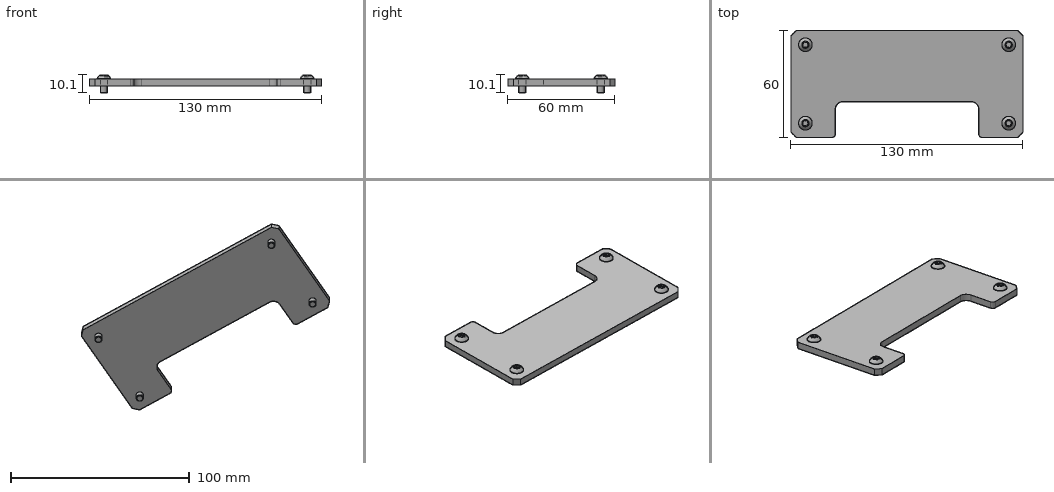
import cadquery as cq
import math

plate_length = 130.0
plate_width = 60.0
plate_thickness = 4.0
corner_chamfer = 3.0

notch_length = 80.2
notch_depth = 20.0
notch_inner_radius = 4.2
notch_mouth_radius = 2.0

screw_inset = 8.0
shank_diameter = 4.0
shank_length = 7.9
tip_chamfer = 0.4
head_diameter = 7.7
head_height = 2.2
head_flat_diameter = 4.0
head_rim_height = 0.3
head_bulge = 0.2

recess_diameter = 3.9
recess_root_diameter = 2.7
recess_depth = 1.2
recess_angle = -8.0
lobe_count = 6
lobe_half_angle = 10.0
hollow_half_angle = 180.0 / lobe_count - lobe_half_angle

screw_x = plate_length / 2 - screw_inset
screw_y = plate_width / 2 - screw_inset
screw_positions = [(sx * screw_x, sy * screw_y) for sx in (-1, 1) for sy in (-1, 1)]


def make_plate():
    """Chamfered plate with a rounded notch and four through holes."""
    blank = (
        cq.Workplane("XY")
        .rect(plate_length, plate_width)
        .extrude(plate_thickness)
        .edges("|Z")
        .chamfer(corner_chamfer)
    )

    notch_floor_y = notch_depth - plate_width / 2
    notch = (
        cq.Workplane("XY")
        .center(0, notch_floor_y - notch_depth / 2)
        .rect(notch_length, notch_depth)
        .extrude(plate_thickness)
    )
    plate = blank.cut(notch)

    for side in (-1, 1):
        wall_x = side * notch_length / 2
        inner_corner = cq.selectors.NearestToPointSelector((wall_x, notch_floor_y, plate_thickness / 2))
        plate = plate.edges("|Z").edges(inner_corner).fillet(notch_inner_radius)
        mouth_corner = cq.selectors.NearestToPointSelector((wall_x, -plate_width / 2, plate_thickness / 2))
        plate = plate.edges("|Z").edges(mouth_corner).fillet(notch_mouth_radius)

    holes = (
        cq.Workplane("XY")
        .pushPoints(screw_positions)
        .circle(shank_diameter / 2)
        .extrude(plate_thickness)
    )
    return plate.cut(holes)


def polar_point(diameter, angle):
    """Point on a circle about the screw axis, with the angle in degrees."""
    turn = math.radians(angle)
    return (diameter / 2 * math.cos(turn), diameter / 2 * math.sin(turn))


def make_recess():
    """Six-lobed socket sunk from the top of a head that sits on Z = 0."""
    lobe_step = 360.0 / lobe_count
    mean_diameter = (recess_diameter + recess_root_diameter) / 2
    outline = cq.Workplane("XY", origin=(0, 0, head_height - recess_depth))
    outline = outline.moveTo(*polar_point(mean_diameter, recess_angle - lobe_half_angle))
    for lobe in range(lobe_count):
        lobe_angle = recess_angle + lobe * lobe_step
        lobe_end = lobe_angle + lobe_half_angle
        hollow_middle = lobe_end + hollow_half_angle
        hollow_end = hollow_middle + hollow_half_angle
        outline = outline.threePointArc(
            polar_point(recess_diameter, lobe_angle), polar_point(mean_diameter, lobe_end)
        )
        outline = outline.threePointArc(
            polar_point(recess_root_diameter, hollow_middle), polar_point(mean_diameter, hollow_end)
        )
    return outline.close().extrude(recess_depth)


def make_screw():
    """Button-head screw on the Z axis, with the underside of its head at Z = 0."""
    head_radius = head_diameter / 2
    flat_radius = head_flat_diameter / 2
    shank_radius = shank_diameter / 2

    chord_run = head_radius - flat_radius
    chord_rise = head_height - head_rim_height
    chord_length = math.hypot(chord_run, chord_rise)
    flank_middle = (
        (head_radius + flat_radius) / 2 + head_bulge * chord_rise / chord_length,
        (head_rim_height + head_height) / 2 + head_bulge * chord_run / chord_length,
    )

    turned = (
        cq.Workplane("XZ")
        .moveTo(0, -shank_length)
        .lineTo(shank_radius - tip_chamfer, -shank_length)
        .lineTo(shank_radius, tip_chamfer - shank_length)
        .lineTo(shank_radius, 0)
        .lineTo(head_radius, 0)
        .lineTo(head_radius, head_rim_height)
        .threePointArc(flank_middle, (flat_radius, head_height))
        .lineTo(0, head_height)
        .close()
        .revolve(360, (0, 0, 0), (0, 1, 0))
    )
    return turned.cut(make_recess())


plate = make_plate()

screws = []
for x, y in screw_positions:
    screws.append(make_screw().translate((x, y, plate_thickness)))

result = cq.Compound.makeCompound([plate.val(), *[screw.val() for screw in screws]])